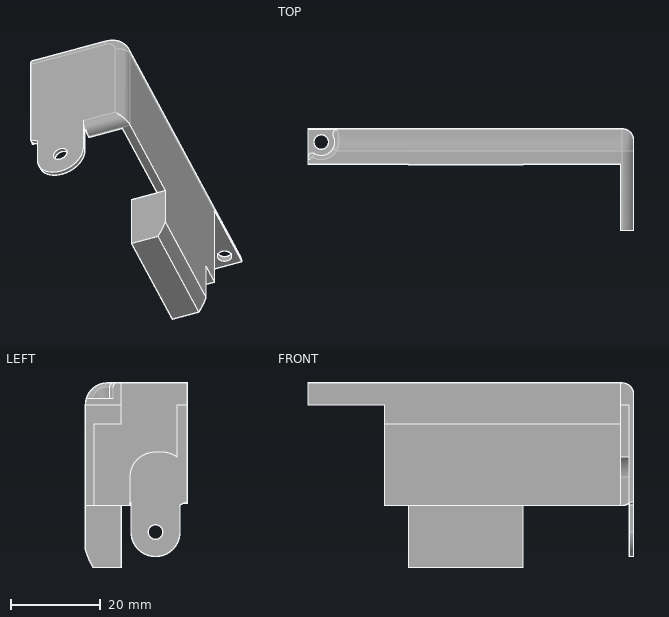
import cadquery as cq
import math

length = 72.8
depth = 22.8
height = 41.3

rail_depth = 8.0
rail_end_height = 5.0
rail_height = 9.2
plate_start = 17.1
plate_thickness = 2.0
plate_height = 27.45
rail_edge_radius = 5.0

wall_thickness = 3.0
wall_edge_radius = 2.6
wall_inner_x = length - wall_thickness

skin_thickness = 1.05
skin_inner_x = length - skin_thickness
relief_start = 10.0
relief_top = 15.5
relief_radius = 5.6
edge_relief_start = 20.5
edge_relief_top = 5.0

tab_width = 11.0
tab_center_y = -15.7
tab_hole_z = -33.35
tab_front_y = tab_center_y - tab_width / 2
tab_back_y = tab_center_y + tab_width / 2
shoulder_outer_z = -26.6
shoulder_inner_z = -27.3

block_start = 22.45
block_length = 25.65
block_depth = 8.1
block_taper_height = 4.0
block_taper_depth = 1.75
block_taper_bulge = 0.15

hole_diameter = 3.2
seat_center = (3.0, -3.0)
seat_radius = 3.0
seat_depth = 3.5
flare_radius = 1.0
seat_rim_radius = 0.95
rim_clearance = 0.1
mouth_overhang = 0.02


def box(x_start, x_end, front, back, bottom, top):
    """Box between the given X, Y and Z limits."""
    size = (x_end - x_start, back - front, top - bottom)
    return cq.Workplane("XY").box(*size, centered=False).translate((x_start, front, bottom))


def make_shell():
    """Rail, back plate and end wall, with their outer edges rounded."""
    rail_end = box(0, length, -rail_depth, 0, -rail_end_height, 0)
    rail = box(plate_start, length, -rail_depth, 0, -rail_height, 0)
    plate = box(plate_start, length, -plate_thickness, 0, -plate_height, 0)
    wall = box(wall_inner_x, length, -depth, 0, -plate_height, 0)
    shell = rail_end.union(rail).union(plate).union(wall).clean()
    shell = shell.edges("|X and >Y and >Z").fillet(rail_edge_radius)
    return shell.faces(">X").edges("not(<Y)").fillet(wall_edge_radius)


def make_wall_relief():
    """Round-cornered opening and narrow front strip, cut down to the skin."""
    opening = box(wall_inner_x, skin_inner_x, -depth, -relief_start, -plate_height, -relief_top)
    opening = opening.edges("|X and >Z").fillet(relief_radius)
    strip = box(wall_inner_x, skin_inner_x, -depth, -edge_relief_start, -plate_height, -edge_relief_top)
    return opening.union(strip)


def make_tab():
    """Round-ended tab with a sloping shoulder at the front of the skin."""
    tab_top = -relief_top - relief_radius
    tab = (
        cq.Workplane("YZ", origin=(skin_inner_x, 0, 0))
        .moveTo(-depth, tab_top)
        .lineTo(-depth, shoulder_outer_z)
        .lineTo(tab_front_y, shoulder_inner_z)
        .lineTo(tab_front_y, tab_hole_z)
        .threePointArc((tab_center_y, tab_hole_z - tab_width / 2), (tab_back_y, tab_hole_z))
        .lineTo(tab_back_y, tab_top)
        .close()
        .extrude(skin_thickness)
    )
    hole = (
        cq.Workplane("YZ", origin=(skin_inner_x, 0, 0))
        .center(tab_center_y, tab_hole_z)
        .circle(hole_diameter / 2)
        .extrude(skin_thickness)
    )
    return tab.cut(hole)


def make_block():
    """Block under the back plate, its lower back edge eased by a shallow arc."""
    taper_start = (0, -height + block_taper_height)
    taper_middle = (
        -block_taper_depth / 2 + block_taper_bulge,
        -height + block_taper_height / 2,
    )
    taper_end = (-block_taper_depth, -height)
    return (
        cq.Workplane("YZ", origin=(block_start, 0, 0))
        .moveTo(0, -plate_height)
        .lineTo(*taper_start)
        .threePointArc(taper_middle, taper_end)
        .lineTo(-block_depth, -height)
        .lineTo(-block_depth, -plate_height)
        .close()
        .extrude(block_length)
    )


def cut_screw_seat(body):
    """Open-sided round seat with a flared mouth, rounded rim and through hole."""
    center_x, center_y = seat_center
    flare_center_x = flare_radius - mouth_overhang
    offset_x = center_x - flare_center_x
    flare_center_distance = seat_radius + flare_radius
    offset_y = math.sqrt(flare_center_distance**2 - offset_x**2)
    flare_center_y = center_y - offset_y
    wall_share = seat_radius / flare_center_distance
    join = (center_x - offset_x * wall_share, center_y - offset_y * wall_share)
    mouth_angle = math.pi - math.acos(flare_center_x / flare_radius)
    mouth_y = flare_center_y + flare_radius * math.sin(mouth_angle)
    flare_angle = (mouth_angle + math.atan2(offset_y, offset_x)) / 2
    flare_middle = (
        flare_center_x + flare_radius * math.cos(flare_angle),
        flare_center_y + flare_radius * math.sin(flare_angle),
    )
    pocket = (
        cq.Workplane("XY", origin=(0, 0, -seat_depth))
        .lineTo(0, mouth_y)
        .threePointArc(flare_middle, join)
        .threePointArc((center_x + seat_radius, center_y), (center_x, center_y + seat_radius))
        .close()
        .extrude(seat_depth)
    )
    body = body.cut(pocket)

    rim_reach = seat_radius + seat_rim_radius
    rim_zone = cq.selectors.BoxSelector(
        (rim_clearance, center_y - rim_reach, -seat_depth / 2 + rim_clearance),
        (center_x + rim_reach, 0, rim_clearance),
    )
    body = body.edges(rim_zone).fillet(seat_rim_radius)

    hole = cq.Workplane("XY", origin=(0, 0, -rail_end_height)).center(*seat_center)
    hole = hole.circle(hole_diameter / 2).extrude(rail_end_height)
    return body.cut(hole)


shell = make_shell().cut(make_wall_relief())
result = cut_screw_seat(shell.union(make_tab()).union(make_block()))